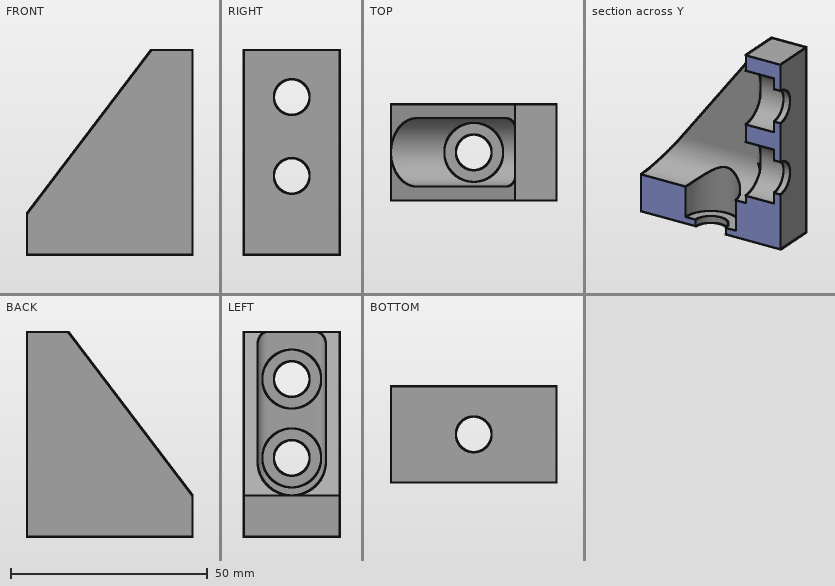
import cadquery as cq

length = 42.0
width = 24.5
height = 52.0
wall = 10.5

pocket_width = 17.4
pocket_radius = pocket_width / 2
corner_radius = 2.5

hole_diameter = 9.0
bore_diameter = 15.0
seat_thickness = 2.0
hole_spacing = 20.0
upright_hole_heights = (hole_spacing, 2 * hole_spacing)

back_wall_x = length - wall


def make_body():
    """Sloped block, centred on Y, with its foot at X = 0 and Z = 0."""
    return (
        cq.Workplane("XZ")
        .polyline([(0, 0), (length, 0), (length, height), (back_wall_x, height), (0, wall)])
        .close()
        .extrude(width / 2, both=True)
    )


def make_pocket():
    """Open pocket with a half-round floor and rounded vertical back corners."""
    plan = (
        cq.Workplane("XY")
        .box(back_wall_x, pocket_width, height, centered=(False, True, False))
        .edges("|Z and >X")
        .fillet(corner_radius)
    )
    floor_axis_z = wall + pocket_radius
    section = (
        cq.Workplane("YZ")
        .moveTo(-pocket_radius, height)
        .lineTo(-pocket_radius, floor_axis_z)
        .threePointArc((0, wall), (pocket_radius, floor_axis_z))
        .lineTo(pocket_radius, height)
        .close()
        .extrude(back_wall_x)
    )
    return plan.intersect(section)


def make_screw_cutter(reach):
    """Hole along +Z from the mounting face, with a counterbore up to the given reach."""
    hole = cq.Workplane("XY").circle(hole_diameter / 2).extrude(reach)
    bore = (
        cq.Workplane("XY")
        .workplane(offset=seat_thickness)
        .circle(bore_diameter / 2)
        .extrude(reach - seat_thickness)
    )
    return hole.union(bore)


result = make_body().cut(make_pocket())

base_cutter = make_screw_cutter(wall + pocket_radius)
result = result.cut(base_cutter.translate((length / 2, 0, 0)))

upright_cutter = make_screw_cutter(wall + corner_radius).rotate((0, 0, 0), (0, 1, 0), -90)
for hole_z in upright_hole_heights:
    result = result.cut(upright_cutter.translate((length, 0, hole_z)))